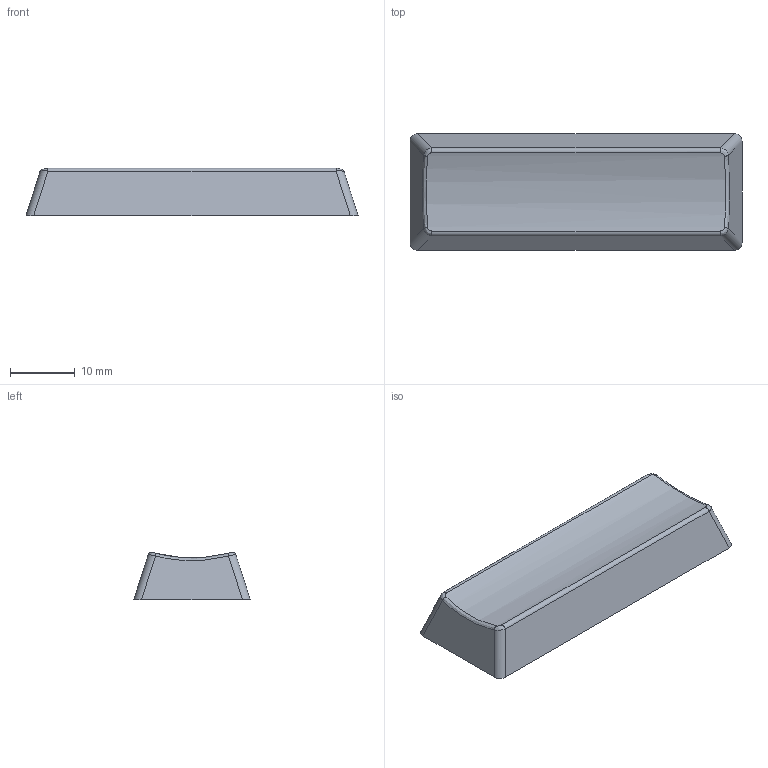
import cadquery as cq

length = 51.34
width = 18.0
wall_angle = 17.6
blank_height = 9.0

dish_radius = 22.0
dish_floor_height = 6.475

corner_radius = 1.25
rim_radius = 0.62


def tapered_block():
    """Rectangular block with inward-leaning walls and rounded corner edges."""
    block = cq.Workplane("XY").rect(length, width).extrude(blank_height, taper=wall_angle)
    return block.edges("not(#Z or |X or |Y)").fillet(corner_radius)


def dish_cutter():
    """Horizontal cylinder along X that scoops out the top."""
    axis_height = dish_floor_height + dish_radius
    return (
        cq.Workplane("YZ", origin=(-length / 2, 0, axis_height))
        .circle(dish_radius)
        .extrude(length)
    )


def round_rim(body):
    """Round the edges where the dish meets the walls and corners."""
    above_dish_floor = cq.selectors.BoxSelector(
        (-length, -width, dish_floor_height),
        (length, width, blank_height),
    )
    return body.edges(above_dish_floor).fillet(rim_radius)


dished_block = tapered_block().cut(dish_cutter())
result = round_rim(dished_block)